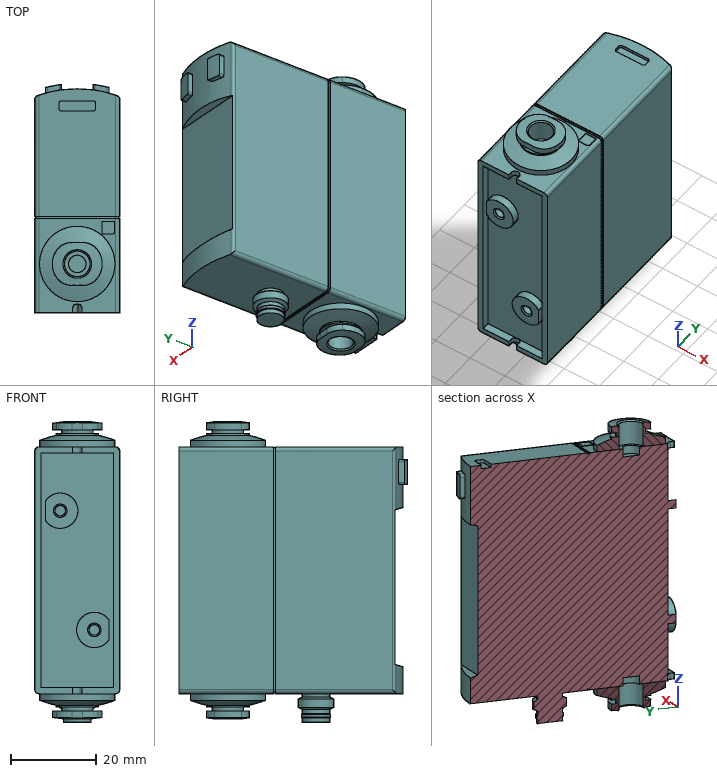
import cadquery as cq
import math

WIDTH = 20.0
HEIGHT = 58.0
REAR_CREST_Y = 52.65
REAR_EDGE_Y = 50.8
SIDE_EDGE_RADIUS = 1.0
REAR_EDGE_RADIUS = 0.9
HALF_WIDTH = WIDTH / 2
HALF_HEIGHT = HEIGHT / 2

WALL = 1.5
FRONT_RECESS_DEPTH = 2.0
BOSS_DIAMETER = 8.3
BOSS_FLAT_OFFSET = 3.5
BOSS_X = 4.0
BOSS_Z = 14.0
BOSS_HOLE_DIAMETER = 2.46
BOSS_HOLE_CHAMFER = 0.35
BOSS_HOLE_DEPTH = 6.0
NOTCH_WIDTH = 2.2
NOTCH_DEPTH = 2.1

GROOVE_Y = 22.15
GROOVE_WIDTH = 0.55
GROOVE_DEPTH = 0.2

WINDOW_LENGTH = 8.6
WINDOW_WIDTH = 2.4
WINDOW_Y = 48.6
WINDOW_DEPTH = 0.8
WINDOW_RADIUS = 0.6
MARK_SIZE = 3.0
MARK_X = 7.3
MARK_Y = 20.0
MARK_CHAMFER = 0.4
MARK_DEPTH = 0.1

REAR_RECESS_Y = 50.8
REAR_RECESS_BOTTOM_Z = -22.1
REAR_RECESS_TOP_Z = 14.2
REAR_RECESS_FLARE = 0.55

KEY_INNER_X = 3.7
KEY_OUTER_X = 7.5
KEY_BOTTOM_Z = 20.1
KEY_TOP_Z = 26.0
KEY_CORNER_RADIUS = 0.5
KEY_PEAK_Y = 53.69

CONNECTOR_Y = 32.2
CONNECTOR_LENGTH = 6.74
CONNECTOR_DIAMETER = 6.5
COLLAR_DIAMETER = 8.4
COLLAR_START = 1.25
COLLAR_END = 3.2
COLLAR_TAPER = 0.5
RIM_DIAMETER = 6.9
RIM_START = 4.85
RIM_END = 5.5
RIM_TAPER = 0.2

FITTING_Y = 11.5
FITTING_HEIGHT = 5.9
FLANGE_DIAMETER = 17.7
FLANGE_HEIGHT = 1.55
DOME_HEIGHT = 2.7
DOME_RISE = 0.1
RING_DIAMETER = 10.08
RING_HEIGHT = 3.1
NECK_DIAMETER = 7.4
COLLET_START = 4.0
COLLET_LENGTH = 11.74
COLLET_WIDTH = 10.08
COLLET_FLAT_LENGTH = 2.56
COLLET_CORNER_RADIUS = 4.38
COLLET_CONE_DROP = 0.35
BORE_DIAMETER = 6.0
BORE_MOUTH_DIAMETER = 6.7
PORT_DIAMETER = 4.1
PORT_DEPTH = 2.0

REAR_SAG = REAR_CREST_Y - REAR_EDGE_Y
REAR_RADIUS = (HALF_WIDTH**2 + REAR_SAG**2) / (2 * REAR_SAG)
REAR_CENTRE_Y = REAR_CREST_Y - REAR_RADIUS


def housing_block():
    block = (
        cq.Workplane("XY").workplane(offset=-HALF_HEIGHT)
        .moveTo(-HALF_WIDTH, 0)
        .lineTo(HALF_WIDTH, 0)
        .lineTo(HALF_WIDTH, REAR_EDGE_Y)
        .threePointArc((0, REAR_CREST_Y), (-HALF_WIDTH, REAR_EDGE_Y))
        .close()
        .extrude(HEIGHT)
    )
    block = block.edges("|Z").edges(">Y").fillet(REAR_EDGE_RADIUS)
    rounded_bar = front_plane_box(WIDTH, HEIGHT, 0, REAR_CREST_Y).edges("|Y").fillet(SIDE_EDGE_RADIUS)
    return block.intersect(rounded_bar)


def front_plane_box(width, height, start_y, depth):
    """Box centred on the Y axis, with its front at start_y and its back deeper by depth."""
    box = cq.Workplane("XY").box(width, depth, height, centered=(True, False, True))
    return box.translate((0, start_y, 0))


def groove_cutter():
    outer = front_plane_box(2 * WIDTH, 2 * HEIGHT, GROOVE_Y, GROOVE_WIDTH)
    core = (
        front_plane_box(WIDTH - 2 * GROOVE_DEPTH, HEIGHT - 2 * GROOVE_DEPTH, GROOVE_Y, GROOVE_WIDTH)
        .edges("|Y").fillet(SIDE_EDGE_RADIUS - GROOVE_DEPTH)
    )
    return outer.cut(core)


def boss(side):
    """Boss with its flat towards the wall on the given X side (+1 or -1)."""
    disc = cq.Workplane("XZ").circle(BOSS_DIAMETER / 2).extrude(-FRONT_RECESS_DEPTH)
    beyond_flat = (
        front_plane_box(BOSS_DIAMETER, BOSS_DIAMETER, 0, FRONT_RECESS_DEPTH)
        .translate((side * (BOSS_FLAT_OFFSET + BOSS_DIAMETER / 2), 0, 0))
    )
    return disc.cut(beyond_flat)


def boss_hole():
    radius = BOSS_HOLE_DIAMETER / 2
    return (
        cq.Workplane("XY")
        .polyline([
            (0, 0),
            (radius + BOSS_HOLE_CHAMFER, 0),
            (radius, BOSS_HOLE_CHAMFER),
            (radius, BOSS_HOLE_DEPTH),
            (0, BOSS_HOLE_DEPTH),
        ])
        .close()
        .revolve(360, (0, 0, 0), (0, 1, 0))
    )


def notch_cutter():
    """Round-ended slot at the front, through the lower and upper walls."""
    radius = NOTCH_WIDTH / 2
    straight = NOTCH_DEPTH - radius
    slot = (
        cq.Workplane("XY").workplane(offset=-HALF_HEIGHT)
        .moveTo(-radius, 0)
        .lineTo(radius, 0)
        .lineTo(radius, straight)
        .threePointArc((0, NOTCH_DEPTH), (-radius, straight))
        .close()
        .extrude(WALL)
    )
    return slot.union(slot.mirror("XY"))


def window_cutter():
    return (
        cq.Workplane("XY").box(WINDOW_LENGTH, WINDOW_WIDTH, 2 * WINDOW_DEPTH)
        .edges("|Z").fillet(WINDOW_RADIUS)
        .translate((0, WINDOW_Y, HALF_HEIGHT))
    )


def mark_cutter():
    return (
        cq.Workplane("XY").box(MARK_SIZE, MARK_SIZE, 2 * MARK_DEPTH)
        .edges("|Z").edges(">X and <Y").chamfer(MARK_CHAMFER)
        .translate((MARK_X, MARK_Y, HALF_HEIGHT))
    )


def rear_recess_cutter():
    return (
        cq.Workplane("YZ").workplane(offset=-HALF_WIDTH)
        .polyline([
            (REAR_RECESS_Y, REAR_RECESS_BOTTOM_Z),
            (REAR_CREST_Y, REAR_RECESS_BOTTOM_Z - REAR_RECESS_FLARE),
            (REAR_CREST_Y, REAR_RECESS_TOP_Z + REAR_RECESS_FLARE),
            (REAR_RECESS_Y, REAR_RECESS_TOP_Z),
        ])
        .close()
        .extrude(WIDTH)
    )


def keys():
    """Two keys whose tops follow a cylinder concentric with the rear face."""
    key_width = KEY_OUTER_X - KEY_INNER_X
    key_height = KEY_TOP_Z - KEY_BOTTOM_Z
    root_y = REAR_EDGE_Y - SIDE_EDGE_RADIUS
    top_radius = math.hypot(KEY_INNER_X, KEY_PEAK_Y - REAR_CENTRE_Y)
    mid_x = (KEY_INNER_X + KEY_OUTER_X) / 2
    mid_z = (KEY_BOTTOM_Z + KEY_TOP_Z) / 2
    blanks = (
        cq.Workplane("XZ", origin=(0, root_y, mid_z))
        .pushPoints([(-mid_x, 0), (mid_x, 0)])
        .rect(key_width, key_height)
        .extrude(root_y - KEY_PEAK_Y)
        .edges("|Y").fillet(KEY_CORNER_RADIUS)
    )
    top_cylinder = (
        cq.Workplane("XY").workplane(offset=KEY_BOTTOM_Z)
        .center(0, REAR_CENTRE_Y)
        .circle(top_radius)
        .extrude(key_height)
    )
    return blanks.intersect(top_cylinder)


def connector():
    body_radius = CONNECTOR_DIAMETER / 2
    collar_radius = COLLAR_DIAMETER / 2
    rim_radius = RIM_DIAMETER / 2
    profile = (
        cq.Workplane("XZ")
        .polyline([
            (0, 0),
            (body_radius, 0),
            (body_radius, -(COLLAR_START - COLLAR_TAPER)),
            (collar_radius, -COLLAR_START),
            (collar_radius, -COLLAR_END),
            (body_radius, -(COLLAR_END + COLLAR_TAPER)),
            (body_radius, -(RIM_START - RIM_TAPER)),
            (rim_radius, -RIM_START),
            (rim_radius, -RIM_END),
            (body_radius, -(RIM_END + RIM_TAPER)),
            (body_radius, -CONNECTOR_LENGTH),
            (0, -CONNECTOR_LENGTH),
        ])
        .close()
    )
    return profile.revolve(360, (0, 0, 0), (0, 1, 0)).translate((0, CONNECTOR_Y, -HALF_HEIGHT))


def port_cutter():
    """Blind ports under the two fittings."""
    port = (
        cq.Workplane("XY").workplane(offset=HALF_HEIGHT - PORT_DEPTH)
        .center(0, FITTING_Y)
        .circle(PORT_DIAMETER / 2)
        .extrude(PORT_DEPTH)
    )
    return port.union(port.mirror("XY"))


def make_housing():
    body = housing_block()
    body = body.cut(rear_recess_cutter())
    body = body.cut(groove_cutter())
    body = body.cut(front_plane_box(WIDTH - 2 * WALL, HEIGHT - 2 * WALL, 0, FRONT_RECESS_DEPTH))
    for side in (-1, 1):
        place = (side * BOSS_X, 0, -side * BOSS_Z)
        body = body.union(boss(side).translate(place))
        body = body.cut(boss_hole().translate(place))
    body = body.cut(notch_cutter())
    body = body.cut(window_cutter())
    body = body.cut(mark_cutter())
    body = body.cut(port_cutter())
    return body.union(keys()).union(connector())


def fitting_base():
    """Flange, dome, ring and neck."""
    flange_radius = FLANGE_DIAMETER / 2
    ring_radius = RING_DIAMETER / 2
    neck_radius = NECK_DIAMETER / 2
    dome_middle = ((flange_radius + ring_radius) / 2, (FLANGE_HEIGHT + DOME_HEIGHT) / 2 + DOME_RISE)
    return (
        cq.Workplane("XZ")
        .lineTo(flange_radius, 0)
        .lineTo(flange_radius, FLANGE_HEIGHT)
        .threePointArc(dome_middle, (ring_radius, DOME_HEIGHT))
        .lineTo(ring_radius, RING_HEIGHT)
        .lineTo(neck_radius, RING_HEIGHT)
        .lineTo(neck_radius, COLLET_START)
        .lineTo(0, COLLET_START)
        .close()
        .revolve(360, (0, 0, 0), (0, 1, 0))
    )


def collet():
    """Release collar: an oval of two flats, four corner arcs and two end arcs, under a shallow cone."""
    half_length = COLLET_LENGTH / 2
    half_width = COLLET_WIDTH / 2
    corner_x = COLLET_FLAT_LENGTH / 2
    corner_y = half_width - COLLET_CORNER_RADIUS
    reach = half_length - COLLET_CORNER_RADIUS
    end_x = (reach**2 - corner_x**2 - corner_y**2) / (2 * (reach - corner_x))
    end_radius = half_length - end_x
    end_angle = math.atan2(corner_y, corner_x - end_x)
    touch_x = end_x + end_radius * math.cos(end_angle)
    touch_y = end_radius * math.sin(end_angle)
    corner_angle = (end_angle + math.pi / 2) / 2
    corner_mid_x = corner_x + COLLET_CORNER_RADIUS * math.cos(corner_angle)
    corner_mid_y = corner_y + COLLET_CORNER_RADIUS * math.sin(corner_angle)
    oval = (
        cq.Workplane("XY").workplane(offset=COLLET_START)
        .moveTo(-corner_x, half_width)
        .lineTo(corner_x, half_width)
        .threePointArc((corner_mid_x, corner_mid_y), (touch_x, touch_y))
        .threePointArc((half_length, 0), (touch_x, -touch_y))
        .threePointArc((corner_mid_x, -corner_mid_y), (corner_x, -half_width))
        .lineTo(-corner_x, -half_width)
        .threePointArc((-corner_mid_x, -corner_mid_y), (-touch_x, -touch_y))
        .threePointArc((-half_length, 0), (-touch_x, touch_y))
        .threePointArc((-corner_mid_x, corner_mid_y), (-corner_x, half_width))
        .close()
        .extrude(FITTING_HEIGHT - COLLET_START)
    )
    cone = (
        cq.Workplane("XZ")
        .polyline([
            (0, COLLET_START),
            (half_length, COLLET_START),
            (half_length, FITTING_HEIGHT - COLLET_CONE_DROP),
            (BORE_MOUTH_DIAMETER / 2, FITTING_HEIGHT),
            (0, FITTING_HEIGHT),
        ])
        .close()
        .revolve(360, (0, 0, 0), (0, 1, 0))
    )
    return oval.intersect(cone)


def bore_cutter():
    radius = BORE_DIAMETER / 2
    mouth_radius = BORE_MOUTH_DIAMETER / 2
    return (
        cq.Workplane("XZ")
        .polyline([
            (0, 0),
            (radius, 0),
            (radius, FITTING_HEIGHT - (mouth_radius - radius)),
            (mouth_radius, FITTING_HEIGHT),
            (0, FITTING_HEIGHT),
        ])
        .close()
        .revolve(360, (0, 0, 0), (0, 1, 0))
    )


def make_fitting(side):
    """Fitting on the upper (+1) or lower (-1) face of the housing."""
    fitting = fitting_base().union(collet()).cut(bore_cutter())
    fitting = fitting.translate((0, FITTING_Y, HALF_HEIGHT))
    if side < 0:
        fitting = fitting.mirror("XY")
    return fitting


housing = make_housing().solids()
fittings = [make_fitting(side).solids() for side in (1, -1)]

result = cq.Compound.makeCompound([housing.val(), *[fitting.val() for fitting in fittings]])